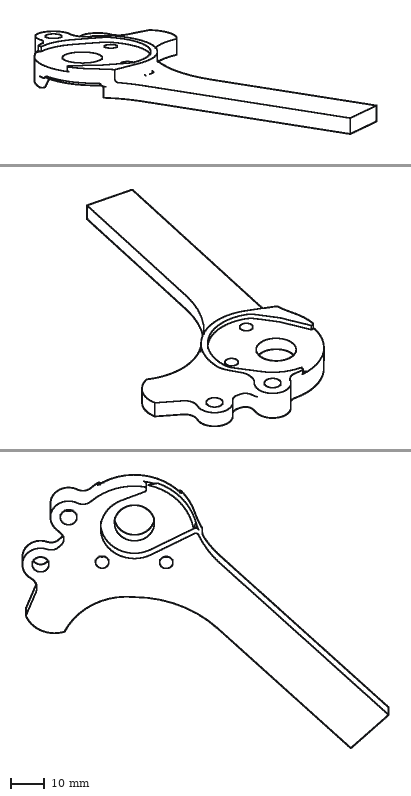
import cadquery as cq
import math

ARM_THICKNESS = 5.0
BOSS_HEIGHT = 9.0
TOP_POCKET_DEPTH = 1.5
CHANNEL_DEPTH = 3.5
CHANNEL_CHAMFER = 1.0
BOSS_FOOT_RADIUS = 1.0

BODY_CENTER = (3.35, 3.35)
BODY_RADIUS = 19.0
BOSS_RADIUS = BODY_RADIUS - BOSS_FOOT_RADIUS

ARM_END = 98.49
ARM_TOP = 6.0
ARM_BOTTOM = -10.0
ARM_LOWER_BLEND = 30.0

NECK_ANGLE = 45.0
NECK_REACH = 18.5
HEAD_HOLLOW_RADIUS = 20.6

HEAD_TOP_CENTER = (1.7, 35.43)
HEAD_TOP_RADIUS = 9.3
HEAD_RIGHT_ANGLE = 26.0
HEAD_LEFT_ANGLE = 113.0

EAR_RADIUS = 5.5
LOWER_EAR = (-16.54, 11.45)
UPPER_EAR = (-11.15, 28.63)
BAY_RADIUS = 4.0
BAY_ANGLE = 77.5
NOTCH_ANGLE = -114.0
NOTCH_UPPER_RADIUS = 3.2
NOTCH_LOWER_RADIUS = 2.65
LOWER_EAR_BLEND = 3.5

SHOULDER_HOLLOW_CENTER = (-10.5, 20.9)
SHOULDER_CORNER_ANGLE = 108.0
SHOULDER_CORNER_RADIUS = 8.0
SHOULDER_SIDE_ANGLE = -17.0

POCKET_RADIUS = 16.0
POCKET_HALF_WIDTH = 14.6
POCKET_CORNER_RADIUS = 6.0
POCKET_LEFT_EDGE = -14.0
POCKET_LEFT_LIP = -0.3
POCKET_SIDE_START = (-9.1, 11.55)
POCKET_SIDE_MIDDLE = (-12.75, 6.3)
POCKET_LOWER_BEND = 12.0
POCKET_LOWER_LIP = (3.5, -14.55)
POCKET_LIP_RADIUS = 0.7

CHANNEL_RADIUS = 10.2
CHANNEL_RIGHT_WALL_ANGLE = -74.0
CHANNEL_LEFT_WALL_ANGLE = -68.0
CHANNEL_LIP_RADIUS = 0.9

BORE_DIAMETER = 12.0
EAR_HOLE_DIAMETER = 5.0
SCREW_HOLE_DIAMETER = 4.0
SCREW_CIRCLE_RADIUS = 15.0
SCREW_ANGLES = (5.0, 85.0)

BEYOND = 40.0


def polar(center, radius, degrees):
    """Point at a radius and an angle from a center."""
    angle = math.radians(degrees)
    return (center[0] + radius * math.cos(angle), center[1] + radius * math.sin(angle))


def heading(start, end):
    """Direction from one point to another, in degrees."""
    return math.degrees(math.atan2(end[1] - start[1], end[0] - start[0]))


def arc_to(sketch, center, radius, start, end):
    """Add an arc about a center between two points, the short way round."""
    first = heading(center, start)
    sweep = (heading(center, end) - first + 180.0) % 360.0 - 180.0
    return sketch.threePointArc(polar(center, radius, first + sweep / 2), end)


def blend_center(first, first_radius, second, second_radius, radius):
    """Center of an arc touching two circles from outside, to the left going from first to second."""
    base = math.dist(first, second)
    side_a = first_radius + radius
    side_b = second_radius + radius
    turn = math.acos((side_a**2 + base**2 - side_b**2) / (2 * side_a * base))
    return polar(first, side_a, heading(first, second) + math.degrees(turn))


def make_outline():
    """Full plan outline of the part, raised to the boss height."""
    neck = polar(BODY_CENTER, NECK_REACH, NECK_ANGLE)
    neck_sine = math.sin(math.radians(NECK_ANGLE))
    arm_upper_radius = (neck[1] - ARM_TOP) / (1 - neck_sine)
    arm_upper_center = polar(neck, arm_upper_radius, NECK_ANGLE)
    arm_upper_start = (arm_upper_center[0], ARM_TOP)

    head_right = polar(HEAD_TOP_CENTER, HEAD_TOP_RADIUS, HEAD_RIGHT_ANGLE)
    head_left = polar(HEAD_TOP_CENTER, HEAD_TOP_RADIUS, HEAD_LEFT_ANGLE)
    half_chord = math.dist(neck, head_right) / 2
    chord_angle = heading(neck, head_right)
    chord_turn = math.degrees(math.acos(half_chord / HEAD_HOLLOW_RADIUS))
    head_hollow_center = polar(neck, HEAD_HOLLOW_RADIUS, chord_angle - chord_turn)

    bay_center = polar(UPPER_EAR, EAR_RADIUS + BAY_RADIUS, BAY_ANGLE)
    bay_turn = math.degrees(math.acos(BAY_RADIUS / math.dist(bay_center, head_left)))
    bay_start = polar(bay_center, BAY_RADIUS, heading(bay_center, head_left) - bay_turn)
    bay_end = polar(UPPER_EAR, EAR_RADIUS, BAY_ANGLE)

    upper_ear_left = polar(UPPER_EAR, EAR_RADIUS, 180.0)
    lower_ear_left = polar(LOWER_EAR, EAR_RADIUS, 180.0)
    upper_ear_end = polar(UPPER_EAR, EAR_RADIUS, NOTCH_ANGLE)
    lower_ear_top = polar(LOWER_EAR, EAR_RADIUS, 90.0)
    notch_upper_center = polar(UPPER_EAR, EAR_RADIUS + NOTCH_UPPER_RADIUS, NOTCH_ANGLE)
    notch_upper_end = polar(notch_upper_center, NOTCH_UPPER_RADIUS, 0.0)
    notch_lower_center = (
        notch_upper_end[0] - NOTCH_LOWER_RADIUS,
        lower_ear_top[1] + NOTCH_LOWER_RADIUS,
    )
    notch_lower_start = polar(notch_lower_center, NOTCH_LOWER_RADIUS, 0.0)
    notch_lower_end = polar(notch_lower_center, NOTCH_LOWER_RADIUS, -90.0)

    ear_blend_center = blend_center(BODY_CENTER, BODY_RADIUS, LOWER_EAR, EAR_RADIUS, LOWER_EAR_BLEND)
    ear_blend_start = polar(LOWER_EAR, EAR_RADIUS, heading(LOWER_EAR, ear_blend_center))
    ear_blend_end = polar(BODY_CENTER, BODY_RADIUS, heading(BODY_CENTER, ear_blend_center))

    arm_lower_y = ARM_BOTTOM - ARM_LOWER_BLEND
    arm_lower_span = math.sqrt(
        (BODY_RADIUS + ARM_LOWER_BLEND) ** 2 - (BODY_CENTER[1] - arm_lower_y) ** 2
    )
    arm_lower_center = (BODY_CENTER[0] + arm_lower_span, arm_lower_y)
    body_end = polar(BODY_CENTER, BODY_RADIUS, heading(BODY_CENTER, arm_lower_center))
    arm_lower_end = (arm_lower_center[0], ARM_BOTTOM)

    sketch = cq.Workplane("XY").moveTo(ARM_END, ARM_BOTTOM)
    sketch = sketch.lineTo(ARM_END, ARM_TOP).lineTo(*arm_upper_start)
    sketch = arc_to(sketch, arm_upper_center, arm_upper_radius, arm_upper_start, neck)
    sketch = arc_to(sketch, head_hollow_center, HEAD_HOLLOW_RADIUS, neck, head_right)
    sketch = arc_to(sketch, HEAD_TOP_CENTER, HEAD_TOP_RADIUS, head_right, head_left)
    sketch = sketch.lineTo(*bay_start)
    sketch = arc_to(sketch, bay_center, BAY_RADIUS, bay_start, bay_end)
    sketch = arc_to(sketch, UPPER_EAR, EAR_RADIUS, bay_end, upper_ear_left)
    sketch = arc_to(sketch, UPPER_EAR, EAR_RADIUS, upper_ear_left, upper_ear_end)
    sketch = arc_to(sketch, notch_upper_center, NOTCH_UPPER_RADIUS, upper_ear_end, notch_upper_end)
    sketch = sketch.lineTo(*notch_lower_start)
    sketch = arc_to(sketch, notch_lower_center, NOTCH_LOWER_RADIUS, notch_lower_start, notch_lower_end)
    sketch = sketch.lineTo(*lower_ear_top)
    sketch = arc_to(sketch, LOWER_EAR, EAR_RADIUS, lower_ear_top, lower_ear_left)
    sketch = arc_to(sketch, LOWER_EAR, EAR_RADIUS, lower_ear_left, ear_blend_start)
    sketch = arc_to(sketch, ear_blend_center, LOWER_EAR_BLEND, ear_blend_start, ear_blend_end)
    sketch = arc_to(sketch, BODY_CENTER, BODY_RADIUS, ear_blend_end, body_end)
    sketch = arc_to(sketch, arm_lower_center, ARM_LOWER_BLEND, body_end, arm_lower_end)
    return sketch.close().extrude(BOSS_HEIGHT)


def make_stepped_block():
    """Wide slab at the arm height carrying the boss, with a rounded foot along the step."""
    hollow_radius = math.dist(LOWER_EAR, SHOULDER_HOLLOW_CENTER) - EAR_RADIUS
    hollow_start = polar(LOWER_EAR, EAR_RADIUS, heading(LOWER_EAR, SHOULDER_HOLLOW_CENTER))
    ear_left = polar(LOWER_EAR, EAR_RADIUS, 180.0)
    corner = polar(BODY_CENTER, BOSS_RADIUS, SHOULDER_CORNER_ANGLE)
    turn = math.degrees(math.acos(hollow_radius / math.dist(SHOULDER_HOLLOW_CENTER, corner)))
    hollow_end_angle = heading(SHOULDER_HOLLOW_CENTER, corner) - turn
    hollow_end = polar(SHOULDER_HOLLOW_CENTER, hollow_radius, hollow_end_angle)
    side_start = polar(BODY_CENTER, BOSS_RADIUS, SHOULDER_SIDE_ANGLE)
    side_end = polar(side_start, BODY_RADIUS, SHOULDER_SIDE_ANGLE - 90.0)

    sketch = cq.Workplane("XY").moveTo(*ear_left)
    sketch = arc_to(sketch, LOWER_EAR, EAR_RADIUS, ear_left, hollow_start)
    sketch = arc_to(sketch, SHOULDER_HOLLOW_CENTER, hollow_radius, hollow_start, hollow_end)
    sketch = sketch.lineTo(*corner)
    sketch = arc_to(sketch, BODY_CENTER, BOSS_RADIUS, corner, side_start)
    sketch = sketch.lineTo(*side_end).lineTo(ear_left[0], side_end[1])
    boss = sketch.close().extrude(BOSS_HEIGHT)
    corner_finder = cq.selectors.NearestToPointSelector((*corner, BOSS_HEIGHT / 2))
    boss = boss.edges(corner_finder).fillet(SHOULDER_CORNER_RADIUS)

    slab_length = 2 * (ARM_END + BEYOND)
    slab = cq.Workplane("XY").rect(slab_length, slab_length).extrude(ARM_THICKNESS)
    block = slab.union(boss)
    foot_finder = cq.selectors.BoxSelector(
        (-BEYOND, -BEYOND, ARM_THICKNESS - BOSS_FOOT_RADIUS),
        (BEYOND, BEYOND, ARM_THICKNESS + BOSS_FOOT_RADIUS),
    )
    return block.edges(foot_finder).edges("#Z").fillet(BOSS_FOOT_RADIUS)


def make_top_pocket():
    """Shallow pocket in the boss top, open toward the lower left."""
    along = math.sqrt(POCKET_RADIUS**2 - POCKET_HALF_WIDTH**2)
    near = (along - POCKET_HALF_WIDTH) / math.sqrt(2)
    far = (along + POCKET_HALF_WIDTH) / math.sqrt(2)
    upper_corner = (BODY_CENTER[0] + near, BODY_CENTER[1] + far)
    right_corner = (BODY_CENTER[0] + far, BODY_CENTER[1] + near)
    lower_bend = (POCKET_LOWER_BEND, POCKET_LOWER_BEND - POCKET_HALF_WIDTH * math.sqrt(2))
    floor = BOSS_HEIGHT - TOP_POCKET_DEPTH

    sketch = cq.Workplane("XY", origin=(0, 0, floor)).moveTo(-BEYOND, POCKET_LEFT_LIP)
    sketch = sketch.lineTo(POCKET_LEFT_EDGE, POCKET_LEFT_LIP)
    sketch = sketch.threePointArc(POCKET_SIDE_MIDDLE, POCKET_SIDE_START)
    sketch = sketch.lineTo(*upper_corner)
    sketch = arc_to(sketch, BODY_CENTER, POCKET_RADIUS, upper_corner, right_corner)
    sketch = sketch.lineTo(*lower_bend).lineTo(*POCKET_LOWER_LIP)
    sketch = sketch.lineTo(POCKET_LOWER_LIP[0], -BEYOND).lineTo(-BEYOND, -BEYOND)
    pocket = sketch.close().extrude(TOP_POCKET_DEPTH)
    for corner in (upper_corner, right_corner):
        finder = cq.selectors.NearestToPointSelector((*corner, floor + TOP_POCKET_DEPTH / 2))
        pocket = pocket.edges(finder).fillet(POCKET_CORNER_RADIUS)
    return pocket


def cut_top_pocket(part):
    """Cut the top pocket and round the two ends of its wall where it breaks through the rim."""
    part = part.cut(make_top_pocket())
    left_rise = POCKET_LEFT_LIP - BODY_CENTER[1]
    left_end = (BODY_CENTER[0] - math.sqrt(BODY_RADIUS**2 - left_rise**2), POCKET_LEFT_LIP)
    lower_run = POCKET_LOWER_LIP[0] - BODY_CENTER[0]
    lower_end = (POCKET_LOWER_LIP[0], BODY_CENTER[1] - math.sqrt(BODY_RADIUS**2 - lower_run**2))
    for end in (left_end, lower_end):
        finder = cq.selectors.NearestToPointSelector((*end, BOSS_HEIGHT - TOP_POCKET_DEPTH / 2))
        part = part.edges("|Z").edges(finder).fillet(POCKET_LIP_RADIUS)
    return part


def channel_profile(height):
    """Channel plan at a height: round about the bore axis, with straight walls tangent to the round."""
    axis = (0, 0)
    right_start = polar(axis, CHANNEL_RADIUS, CHANNEL_RIGHT_WALL_ANGLE + 90.0)
    left_start = polar(axis, CHANNEL_RADIUS, CHANNEL_LEFT_WALL_ANGLE - 90.0)
    round_middle_angle = (CHANNEL_RIGHT_WALL_ANGLE + CHANNEL_LEFT_WALL_ANGLE) / 2 + 180.0
    profile = cq.Workplane("XY", origin=(0, 0, height))
    profile = profile.moveTo(*polar(right_start, BEYOND, CHANNEL_RIGHT_WALL_ANGLE))
    profile = profile.lineTo(*right_start)
    profile = profile.threePointArc(polar(axis, CHANNEL_RADIUS, round_middle_angle), left_start)
    return profile.lineTo(*polar(left_start, BEYOND, CHANNEL_LEFT_WALL_ANGLE)).close()


def cut_channel(part):
    """Cut the underside channel, round its mouth and chamfer its ceiling at the mouth."""
    part = part.cut(channel_profile(0).extrude(CHANNEL_DEPTH))
    mouth_bottom = BODY_CENTER[1] - BODY_RADIUS
    mouth_finder = cq.selectors.BoxSelector(
        (-CHANNEL_RADIUS, mouth_bottom, 0),
        (BODY_RADIUS, -CHANNEL_RADIUS, CHANNEL_DEPTH),
    )
    part = part.edges(mouth_finder).edges("|Z").fillet(CHANNEL_LIP_RADIUS)

    ceiling = channel_profile(CHANNEL_DEPTH).extrude(CHANNEL_CHAMFER, taper=45)
    kept_core = (
        cq.Workplane("XY", origin=(*BODY_CENTER, CHANNEL_DEPTH))
        .circle(BODY_RADIUS - CHANNEL_CHAMFER)
        .workplane(offset=CHANNEL_CHAMFER)
        .circle(BODY_RADIUS)
        .loft()
    )
    return part.cut(ceiling.cut(kept_core))


def make_holes():
    """Bore, ear holes and screw holes, all through."""
    screws = [polar((0, 0), SCREW_CIRCLE_RADIUS, angle) for angle in SCREW_ANGLES]
    holes = cq.Workplane("XY").circle(BORE_DIAMETER / 2).extrude(BOSS_HEIGHT)
    for points, diameter in (
        ([LOWER_EAR, UPPER_EAR], EAR_HOLE_DIAMETER),
        (screws, SCREW_HOLE_DIAMETER),
    ):
        drill = cq.Workplane("XY").pushPoints(points).circle(diameter / 2).extrude(BOSS_HEIGHT)
        holes = holes.union(drill)
    return holes


body = make_outline().intersect(make_stepped_block())
body = cut_top_pocket(body)
body = cut_channel(body)
result = body.cut(make_holes())